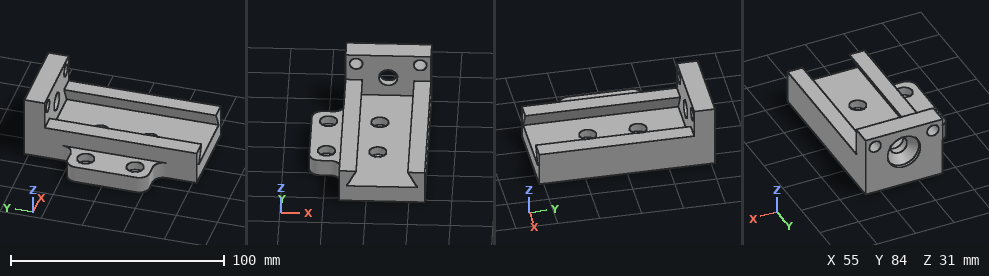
import cadquery as cq

total_width = 55.0
length = 84.0
total_height = 31.0

body_width = 40.0
rail_height = 17.0
floor_height = 8.5
wall_thickness = 10.0
channel_top_width = 24.2
channel_bottom_width = 33.0

flange_reach = total_width - body_width
flange_length = 40.0
flange_center_y = 40.0
flange_radius = flange_reach / 3

screw_pitch = 24.0
screw_edge_distance = 8.0
screw_diameter = 4.5
counterbore_diameter = 8.1
counterbore_depth = 4.3

pin_pitch = 30.0
pin_height = 26.0
pin_diameter = 6.0
spindle_height = 18.5
spindle_diameter = 8.65

recess_diameter = 17.0
recess_depth = 1.7
cone_length = 4.2

body_center_x = flange_reach + body_width / 2


def make_body():
    """L-shaped side profile with the dovetail channel cut up to the end wall."""
    wall_face_y = length - wall_thickness
    block = (
        cq.Workplane("YZ", origin=(flange_reach, 0, 0))
        .polyline([
            (0, 0),
            (length, 0),
            (length, total_height),
            (wall_face_y, total_height),
            (wall_face_y, rail_height),
            (0, rail_height),
        ])
        .close()
        .extrude(body_width)
    )
    channel = (
        cq.Workplane("XZ", origin=(body_center_x, 0, 0))
        .polyline([
            (-channel_bottom_width / 2, floor_height),
            (channel_bottom_width / 2, floor_height),
            (channel_top_width / 2, rail_height),
            (-channel_top_width / 2, rail_height),
        ])
        .close()
        .extrude(-wall_face_y)
    )
    return block.cut(channel)


def make_flange():
    """Plate with rounded outer corners and concave fillets into the body."""
    r = flange_radius
    near_y = flange_center_y - flange_length / 2
    far_y = flange_center_y + flange_length / 2
    return (
        cq.Workplane("XY")
        .moveTo(flange_reach, near_y - r)
        .radiusArc((flange_reach - r, near_y), -r)
        .lineTo(r, near_y)
        .radiusArc((0, near_y + r), r)
        .lineTo(0, far_y - r)
        .radiusArc((r, far_y), r)
        .lineTo(flange_reach - r, far_y)
        .radiusArc((flange_reach, far_y + r), -r)
        .close()
        .extrude(floor_height)
    )


def cut_screw_holes(part):
    """Two holes in the flange and two in the channel floor."""
    pattern_center = (screw_edge_distance + screw_pitch / 2, flange_center_y, floor_height)
    return (
        part.copyWorkplane(cq.Workplane("XY", origin=pattern_center))
        .rarray(screw_pitch, screw_pitch, 2, 2)
        .cboreHole(screw_diameter, counterbore_diameter, counterbore_depth, floor_height)
    )


def wall_cutter(offset_x, height, diameter):
    """Cylinder along Y that passes through the end wall."""
    return (
        cq.Workplane("XZ", origin=(body_center_x + offset_x, length, height))
        .circle(diameter / 2)
        .extrude(wall_thickness)
    )


def make_spindle_recess():
    """Revolved cutter: a cylinder from the back face, then a cone down to the spindle hole."""
    hole_radius = spindle_diameter / 2
    recess_radius = recess_diameter / 2
    recess_y = length - recess_depth
    cone_tip_y = recess_y - cone_length
    return (
        cq.Workplane("XY", origin=(body_center_x, 0, spindle_height))
        .polyline([
            (0, length),
            (recess_radius, length),
            (recess_radius, recess_y),
            (hole_radius, cone_tip_y),
            (0, cone_tip_y),
        ])
        .close()
        .revolve(360, (0, 0, 0), (0, 1, 0))
    )


result = make_body().union(make_flange())
result = cut_screw_holes(result)
for side in (-1, 1):
    result = result.cut(wall_cutter(side * pin_pitch / 2, pin_height, pin_diameter))
result = result.cut(wall_cutter(0, spindle_height, spindle_diameter))
result = result.cut(make_spindle_recess())